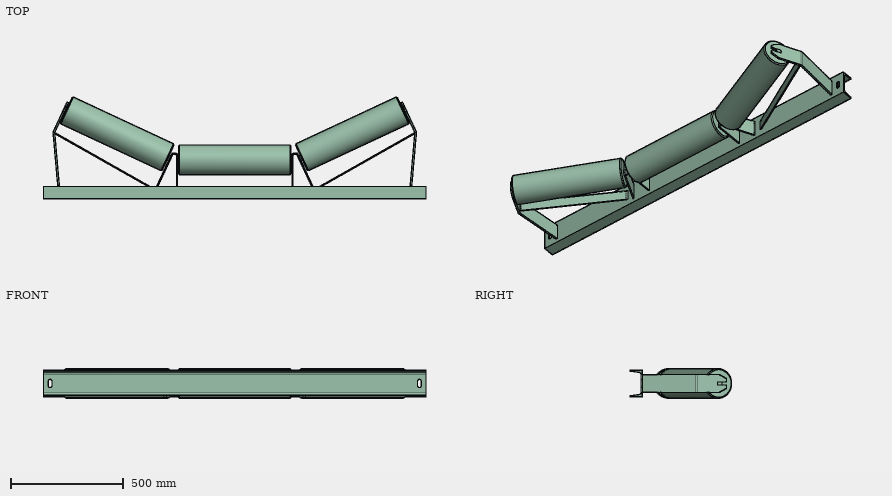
import cadquery as cq
import math


BEAM_LENGTH = 1700.0
BEAM_HEIGHT = 119.0
BEAM_DEPTH = 56.0
WEB_THICKNESS = 7.0
FLANGE_ROOT_THICKNESS = 12.0
FLANGE_TIP_THICKNESS = 5.0
BEAM_ROOT_RADIUS = 8.0
BOLT_SLOT_LENGTH = 35.0
BOLT_SLOT_WIDTH = 15.0
BOLT_SLOT_EDGE_DISTANCE = 30.0

ROLLER_DIAMETER = 133.0
ROLLER_LENGTH = 500.0
ROLLER_EDGE_CHAMFER = 5.0
SHAFT_DIAMETER = 24.0
SHAFT_FLAT_WIDTH = 15.0
TROUGH_ANGLE = 25.0
CENTER_ROLLER_Y = 117.0
SIDE_ROLLER_X = -522.0
SIDE_ROLLER_Y = 233.0

BRACKET_WIDTH = 78.0
INNER_THICKNESS = 6.0
CENTER_ROLLER_GAP = 3.0
SIDE_ROLLER_GAP = 7.0
INNER_TOP_Y = 148.0
INNER_BEND_RADIUS = 10.0
OUTER_THICKNESS = 8.0
OUTER_GAP = 3.0
OUTER_TIP_ABOVE_SHAFT = 34.0
OUTER_BEND_BELOW_SHAFT = 114.0
OUTER_LEG_LEAN = 5.0
OUTER_BEND_RADIUS = 20.0
TIP_CHAMFER_LENGTH = 34.0
TIP_CHAMFER_WIDTH = 17.0

BRACE_WIDTH = 50.0
BRACE_THICKNESS = 5.0
BRACE_ANGLE = 29.5

tilt = math.radians(TROUGH_ANGLE)
lean = math.radians(OUTER_LEG_LEAN)
INWARD = cq.Vector(math.cos(tilt), -math.sin(tilt), 0)
PLATE_UP = cq.Vector(math.sin(tilt), math.cos(tilt), 0)
SIDE_CENTER = cq.Vector(SIDE_ROLLER_X, SIDE_ROLLER_Y, 0)
MIDDLE_CENTER = cq.Vector(0, CENTER_ROLLER_Y, 0)

SIDE_OUTER_REACH = OUTER_GAP + OUTER_THICKNESS
CENTER_REACH = CENTER_ROLLER_GAP + INNER_THICKNESS
SIDE_INNER_REACH = SIDE_ROLLER_GAP + INNER_THICKNESS

outer_shaft_point = SIDE_CENTER - INWARD * (ROLLER_LENGTH / 2 + SIDE_OUTER_REACH)
outer_tip = outer_shaft_point + PLATE_UP * OUTER_TIP_ABOVE_SHAFT
outer_bend = outer_shaft_point - PLATE_UP * OUTER_BEND_BELOW_SHAFT
outer_foot_x = outer_bend.x + outer_bend.y * math.tan(lean)

miter_length = OUTER_THICKNESS / math.cos((tilt + lean) / 2)
miter_angle = (tilt - lean) / 2
miter_direction = cq.Vector(math.cos(miter_angle), -math.sin(miter_angle), 0)
inside_bend = outer_bend + miter_direction * miter_length


def mirrored(body):
    """Copy of a left-hand body on the right-hand side."""
    return body.mirror("YZ")


def plate(points, width):
    """Prism over an XY outline, centered on Z = 0."""
    return cq.Workplane("XY").polyline(points).close().extrude(width / 2, both=True)


def fillet_at(body, x, y, radius):
    """Round the edge parallel to Z that passes through (x, y)."""
    return body.edges(cq.selectors.NearestToPointSelector((x, y, 0))).fillet(radius)


def bend_pair(body, outside, inside, outside_radius, thickness):
    """Round both sides of a plate bend about one common center."""
    body = fillet_at(body, *outside, outside_radius)
    return fillet_at(body, *inside, outside_radius - thickness)


def make_beam():
    """Channel open toward -Y, with tapered flanges and a bolt slot near each end."""
    half = BEAM_HEIGHT / 2
    root = half - FLANGE_ROOT_THICKNESS
    tip = half - FLANGE_TIP_THICKNESS
    profile = [
        (0, -half), (-BEAM_DEPTH, -half), (-BEAM_DEPTH, -tip), (-WEB_THICKNESS, -root),
        (-WEB_THICKNESS, root), (-BEAM_DEPTH, tip), (-BEAM_DEPTH, half), (0, half),
    ]
    beam = cq.Workplane("YZ").polyline(profile).close().extrude(BEAM_LENGTH / 2, both=True)
    for z in (-root, root):
        corner = cq.selectors.NearestToPointSelector((0, -WEB_THICKNESS, z))
        beam = beam.edges(corner).fillet(BEAM_ROOT_RADIUS)
    slot_x = BEAM_LENGTH / 2 - BOLT_SLOT_EDGE_DISTANCE
    slots = (
        cq.Workplane("XZ").pushPoints([(-slot_x, 0), (slot_x, 0)])
        .slot2D(BOLT_SLOT_LENGTH, BOLT_SLOT_WIDTH, 90).extrude(WEB_THICKNESS)
    )
    return beam.cut(slots)


def place_on_axis(body, center, angle):
    """Move a body built along X at the origin onto a roller axis."""
    return body.rotate((0, 0, 0), (0, 0, 1), angle).translate(center)


def make_shaft(left_end, right_end):
    """Round bar along X with two flats facing +Z and -Z."""
    length = right_end - left_end
    shaft = cq.Workplane("YZ").circle(SHAFT_DIAMETER / 2).extrude(length)
    flats = cq.Workplane("XY").box(
        length, SHAFT_DIAMETER, SHAFT_FLAT_WIDTH, centered=(False, True, True)
    )
    return shaft.intersect(flats).translate((left_end, 0, 0))


def make_roller(center, angle, left_reach, right_reach):
    """Roller whose shaft sticks out by the two reaches."""
    half = ROLLER_LENGTH / 2
    shell = (
        cq.Workplane("YZ", origin=(-half, 0, 0)).circle(ROLLER_DIAMETER / 2).extrude(ROLLER_LENGTH)
        .faces("<X or >X").edges().chamfer(ROLLER_EDGE_CHAMFER)
    )
    shaft = make_shaft(-half - left_reach, half + right_reach)
    return place_on_axis(shell.union(shaft), center, angle)


def make_side_roller():
    return make_roller(SIDE_CENTER, -TROUGH_ANGLE, SIDE_OUTER_REACH, SIDE_INNER_REACH)


def make_center_roller():
    return make_roller(MIDDLE_CENTER, 0, CENTER_REACH, CENTER_REACH)


def make_outer_bracket():
    """Bent plate that carries the outer shaft end of a side roller."""
    inside_tip = outer_tip + INWARD * OUTER_THICKNESS
    inside_foot_x = outer_foot_x + OUTER_THICKNESS / math.cos(lean)
    body = plate(
        [
            (outer_foot_x, 0), (outer_bend.x, outer_bend.y), (outer_tip.x, outer_tip.y),
            (inside_tip.x, inside_tip.y), (inside_bend.x, inside_bend.y), (inside_foot_x, 0),
        ],
        BRACKET_WIDTH,
    )
    body = bend_pair(
        body, (outer_bend.x, outer_bend.y), (inside_bend.x, inside_bend.y),
        OUTER_BEND_RADIUS, OUTER_THICKNESS,
    )
    return body.cut(make_tip_corners()).cut(make_shaft_slot())


def make_tip_corners():
    """Two wedges that bevel the corners of the outer bracket tip."""
    half = BRACKET_WIDTH / 2
    tip = OUTER_TIP_ABOVE_SHAFT
    wedge = (
        cq.Workplane("YZ")
        .polyline([(tip, half), (tip, half - TIP_CHAMFER_WIDTH), (tip - TIP_CHAMFER_LENGTH, half)])
        .close().extrude(OUTER_THICKNESS)
    )
    return place_on_axis(wedge.union(wedge.mirror("XY")), outer_shaft_point, -TROUGH_ANGLE)


def make_shaft_slot():
    """Slot open at the bracket tip, its bottom shaped like the shaft."""
    seat = make_shaft(0, OUTER_THICKNESS)
    entry = cq.Workplane("XY").box(
        OUTER_THICKNESS, OUTER_TIP_ABOVE_SHAFT, SHAFT_FLAT_WIDTH, centered=(False, False, True)
    )
    return place_on_axis(seat.union(entry), outer_shaft_point, -TROUGH_ANGLE)


def make_inner_bracket():
    """Folded plate that carries the center roller and a side roller."""
    slope = math.tan(tilt)
    slant_point = SIDE_CENTER + INWARD * (ROLLER_LENGTH / 2 + SIDE_ROLLER_GAP)
    foot_x = slant_point.x - slant_point.y * slope
    fold_x = foot_x + INNER_TOP_Y * slope
    upright_x = -(ROLLER_LENGTH / 2 + CENTER_ROLLER_GAP)
    under_y = INNER_TOP_Y - INNER_THICKNESS
    inside_foot_x = foot_x + INNER_THICKNESS / math.cos(tilt)
    inside_fold_x = inside_foot_x + under_y * slope
    inside_upright_x = upright_x - INNER_THICKNESS
    body = plate(
        [
            (foot_x, 0), (fold_x, INNER_TOP_Y), (upright_x, INNER_TOP_Y), (upright_x, 0),
            (inside_upright_x, 0), (inside_upright_x, under_y),
            (inside_fold_x, under_y), (inside_foot_x, 0),
        ],
        BRACKET_WIDTH,
    )
    body = bend_pair(
        body, (upright_x, INNER_TOP_Y), (inside_upright_x, under_y), INNER_BEND_RADIUS, INNER_THICKNESS
    )
    return body.cut(make_side_roller()).cut(make_center_roller())


def make_brace():
    """Flat strut from the bend of the outer bracket down to the web."""
    angle = math.radians(BRACE_ANGLE)
    slope = math.tan(angle)
    drop = BRACE_THICKNESS / math.cos(angle)
    start_x = inside_bend.x - OUTER_THICKNESS / 2
    start_y = inside_bend.y + (inside_bend.x - start_x) * slope
    foot_x = start_x + start_y / slope
    strut = plate(
        [(start_x, start_y), (foot_x, 0), (foot_x - drop / slope, 0), (start_x, start_y - drop)],
        BRACE_WIDTH,
    )
    return strut.cut(make_outer_bracket())


bodies = [make_beam(), make_center_roller()]
for make_body in (make_side_roller, make_outer_bracket, make_inner_bracket, make_brace):
    left_body = make_body()
    bodies += [left_body, mirrored(left_body)]

result = cq.Compound.makeCompound([body.val() for body in bodies])